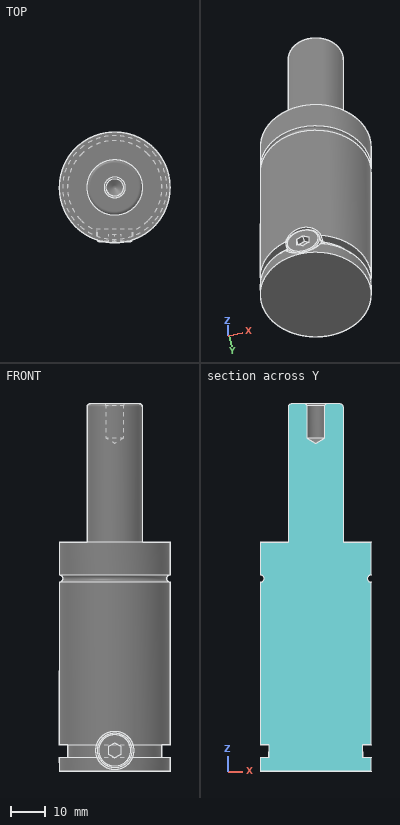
import cadquery as cq
import math

body_radius = 16.0
body_height = 66.0
total_height = 106.0
rod_radius = body_radius / 2
rod_end_fillet = 1.0

base_groove_bottom = 4.0
base_groove_top = 7.6
base_groove_radius = 13.6

round_groove_radius = 1.01
round_groove_z = 55.5

hole_diameter = 5.0
hole_mouth_diameter = 6.0
hole_depth = 10.0
drill_point_angle = 118

pocket_diameter = 11.0
pocket_floor_y = -12.0
plug_diameter = 10.0
plug_z = 6.0
plug_face_y = -15.7
plug_bevel_depth = 0.2
plug_bevel_width = 0.4
hex_across_flats = 3.7
hex_depth = 2.1
HEX_CORNER_RATIO = 2 / math.sqrt(3)


def cylinder(radius, bottom, top):
    """Solid cylinder about the Z axis between two heights."""
    return cq.Workplane("XY").workplane(offset=bottom).circle(radius).extrude(top - bottom)


def plug_workplane(y):
    """Plane facing -Y, centred on the plug axis."""
    return cq.Workplane("XZ", origin=(0, y, plug_z))


def make_body():
    body = cylinder(body_radius, 0, body_height)
    groove_core = cylinder(base_groove_radius, base_groove_bottom, base_groove_top)
    base_groove = cylinder(body_radius, base_groove_bottom, base_groove_top).cut(groove_core)
    round_groove = (
        cq.Workplane("XZ")
        .center(body_radius, round_groove_z)
        .circle(round_groove_radius)
        .revolve(360, (-body_radius, 0), (-body_radius, 1))
    )
    return body.cut(base_groove).cut(round_groove)


def make_rod():
    rod = cylinder(rod_radius, body_height, total_height)
    rod = rod.faces(">Z").fillet(rod_end_fillet)
    hole_radius = hole_diameter / 2
    mouth_radius = hole_mouth_diameter / 2
    mouth_bottom = total_height - (mouth_radius - hole_radius)
    cone_top = total_height - hole_depth
    cone_tip = cone_top - hole_radius / math.tan(math.radians(drill_point_angle / 2))
    hole = (
        cq.Workplane("XZ")
        .moveTo(0, cone_tip)
        .lineTo(hole_radius, cone_top)
        .lineTo(hole_radius, mouth_bottom)
        .lineTo(mouth_radius, total_height)
        .lineTo(0, total_height)
        .close()
        .revolve(360, (0, 0), (0, 1))
    )
    return rod.cut(hole)


def add_plug(part):
    """Seat the bevelled plug in its pocket and sink the hexagon socket."""
    plug_length = pocket_floor_y - plug_face_y
    pocket = plug_workplane(pocket_floor_y).circle(pocket_diameter / 2).extrude(body_radius)
    plug = plug_workplane(pocket_floor_y).circle(plug_diameter / 2).extrude(plug_length)
    plug = plug.faces("<Y").edges().chamfer(plug_bevel_depth, plug_bevel_width)
    socket = (
        plug_workplane(plug_face_y + hex_depth)
        .transformed(rotate=(0, 0, 90))
        .polygon(6, hex_across_flats * HEX_CORNER_RATIO)
        .extrude(hex_depth)
    )
    return part.cut(pocket).union(plug.cut(socket))


result = add_plug(make_body().union(make_rod()))